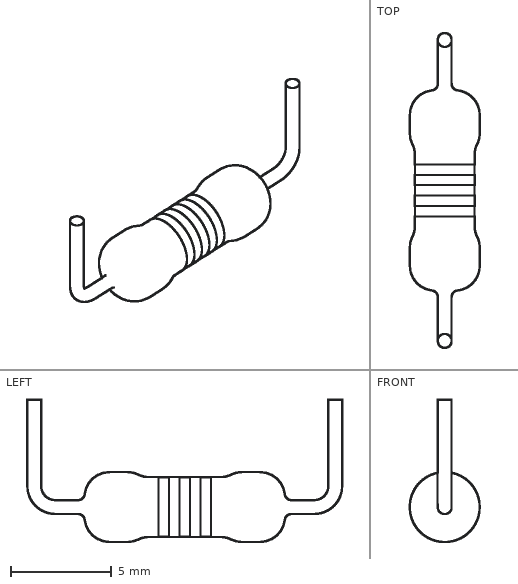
import cadquery as cq
import math


body_length = 10.0
cap_radius = 3.5 / 2
cap_end_radius = 1.25
cap_inner_y = 2.83
shoulder_middle_y = 2.3
lead_fillet_radius = 0.32

gap_radius = 2.98 / 2
band_radius = 3.0 / 2
strip_count = 7
strip_width = 0.52
waist_half_length = strip_count * strip_width / 2

lead_radius = 0.7 / 2
lead_pitch = 15.0
lead_bend_radius = 1.05
lead_tip_z = 5.35


def shoulder_points():
    """Mid points and meeting point of the shoulder's two arcs, from the waist to the cap.

    The arcs touch each other and run parallel to the body axis at their outer ends.
    """
    drop = cap_radius - band_radius
    turn = 2 * math.atan(drop / (cap_inner_y - waist_half_length))
    concave_radius = (shoulder_middle_y - waist_half_length) / math.sin(turn)
    convex_radius = (cap_inner_y - shoulder_middle_y) / math.sin(turn)
    half_sine = math.sin(turn / 2)
    half_rise = 1 - math.cos(turn / 2)
    concave_mid = (band_radius + concave_radius * half_rise, waist_half_length + concave_radius * half_sine)
    meeting = (band_radius + concave_radius * (1 - math.cos(turn)), shoulder_middle_y)
    convex_mid = (cap_radius - convex_radius * half_rise, cap_inner_y - convex_radius * half_sine)
    return concave_mid, meeting, convex_mid


def make_cap():
    """Cap and shoulder on the +Y side, with the meniscus that runs out onto the lead."""
    end_r = cap_radius - cap_end_radius
    end_y = body_length / 2 - cap_end_radius
    fillet_r = lead_radius + lead_fillet_radius
    centre_distance = cap_end_radius + lead_fillet_radius
    fillet_angle = math.acos((fillet_r - end_r) / centre_distance)
    fillet_y = end_y + centre_distance * math.sin(fillet_angle)

    def on_end(angle):
        return (end_r + cap_end_radius * math.cos(angle), end_y + cap_end_radius * math.sin(angle))

    fillet_mid_angle = ((fillet_angle + math.pi) + math.pi) / 2
    fillet_mid = (
        fillet_r + lead_fillet_radius * math.cos(fillet_mid_angle),
        fillet_y + lead_fillet_radius * math.sin(fillet_mid_angle),
    )
    concave_mid, meeting, convex_mid = shoulder_points()
    profile = (
        cq.Workplane("XY")
        .moveTo(0, waist_half_length)
        .lineTo(band_radius, waist_half_length)
        .threePointArc(concave_mid, meeting)
        .threePointArc(convex_mid, (cap_radius, cap_inner_y))
        .lineTo(cap_radius, end_y)
        .threePointArc(on_end(fillet_angle / 2), on_end(fillet_angle))
        .threePointArc(fillet_mid, (lead_radius, fillet_y))
        .lineTo(0, fillet_y)
        .close()
    )
    return profile.revolve(360, (0, 0, 0), (0, 1, 0))


def make_strip(index):
    """One cylindrical strip of the waist, counted from the -Y end."""
    radius = gap_radius if index % 2 else band_radius
    start_y = index * strip_width - waist_half_length
    return cq.Workplane("XZ", origin=(0, start_y, 0)).circle(radius).extrude(-strip_width)


def make_lead():
    """Wire on the +Y side: out of the cap, round the bend and up to its tip."""
    lead_y = lead_pitch / 2
    bend_start_y = lead_y - lead_bend_radius
    bend_offset = lead_bend_radius * math.sin(math.pi / 4)
    bend_mid = (bend_start_y + bend_offset, lead_bend_radius - bend_offset)
    root_y = body_length / 2 - cap_end_radius
    path = (
        cq.Workplane("YZ")
        .moveTo(root_y, 0)
        .lineTo(bend_start_y, 0)
        .threePointArc(bend_mid, (lead_y, lead_bend_radius))
        .lineTo(lead_y, lead_tip_z)
    )
    return cq.Workplane("XZ", origin=(0, root_y, 0)).circle(lead_radius).sweep(path)


end = make_cap().union(make_lead())
result = end.mirror("XZ")
for strip_index in range(strip_count):
    result = result.union(make_strip(strip_index))
result = result.union(end)